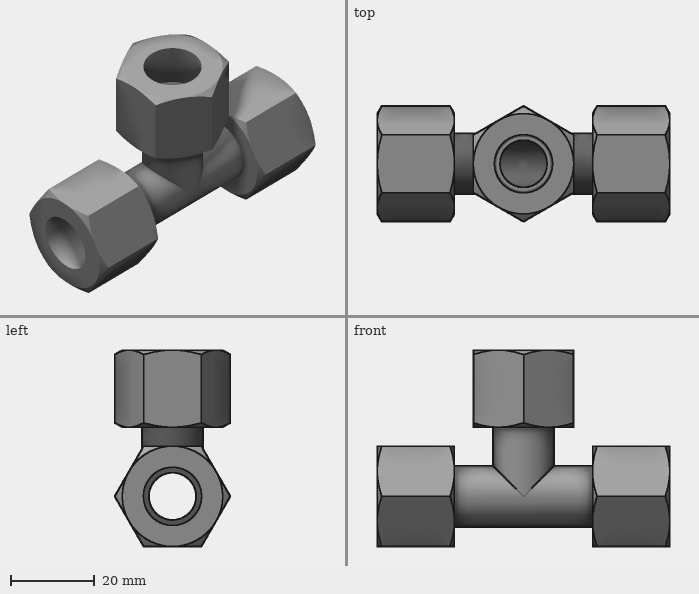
import cadquery as cq
import math

arm_length = 35.0
across_flats = 24.0
nut_sides = 6
nut_length = 18.5
body_diameter = 14.7
bore_diameter = 11.3
socket_diameter = 13.9
socket_depth = 10.5
chamfer_angle = 30.0

flat_radius = across_flats / 2
corner_radius = flat_radius / math.cos(math.pi / nut_sides)
chamfer_height = (corner_radius - flat_radius) * math.tan(math.radians(chamfer_angle))
nut_start = arm_length - nut_length

arm_directions = [(-1, 0, 0), (1, 0, 0), (0, 0, 1)]


def arm_plane(direction):
    """Plane at the tee centre, with its normal along the arm and its local x along Y."""
    return cq.Plane(origin=(0, 0, 0), xDir=(0, 1, 0), normal=direction)


def arm_cylinder(direction, diameter, start, end):
    plane = arm_plane(direction)
    return cq.Workplane(plane).workplane(offset=start).circle(diameter / 2).extrude(end - start)


def nut_envelope(direction):
    """Round blank as wide as the hexagon corners, coned down to the flats at both ends."""
    full_width_start = nut_start + chamfer_height
    full_width_end = arm_length - chamfer_height
    profile = [
        (0, nut_start),
        (flat_radius, nut_start),
        (corner_radius, full_width_start),
        (corner_radius, full_width_end),
        (flat_radius, arm_length),
        (0, arm_length),
    ]
    blank = cq.Workplane("XZ").polyline(profile).close().revolve(360, (0, 0), (0, 1))
    return cq.Workplane(blank.val().moved(cq.Location(arm_plane(direction))))


def nut(direction):
    """Hexagon nut with its corners bevelled at both ends."""
    hexagon = (
        cq.Workplane(arm_plane(direction))
        .workplane(offset=nut_start)
        .polygon(nut_sides, 2 * corner_radius)
        .extrude(nut_length)
    )
    return hexagon.intersect(nut_envelope(direction))


result = cq.Workplane()
for direction in arm_directions:
    result = result.add(arm_cylinder(direction, body_diameter, 0, arm_length))
    result = result.add(nut(direction))
result = result.combine()

for direction in arm_directions:
    result = result.cut(arm_cylinder(direction, bore_diameter, 0, arm_length))
    result = result.cut(arm_cylinder(direction, socket_diameter, arm_length - socket_depth, arm_length))